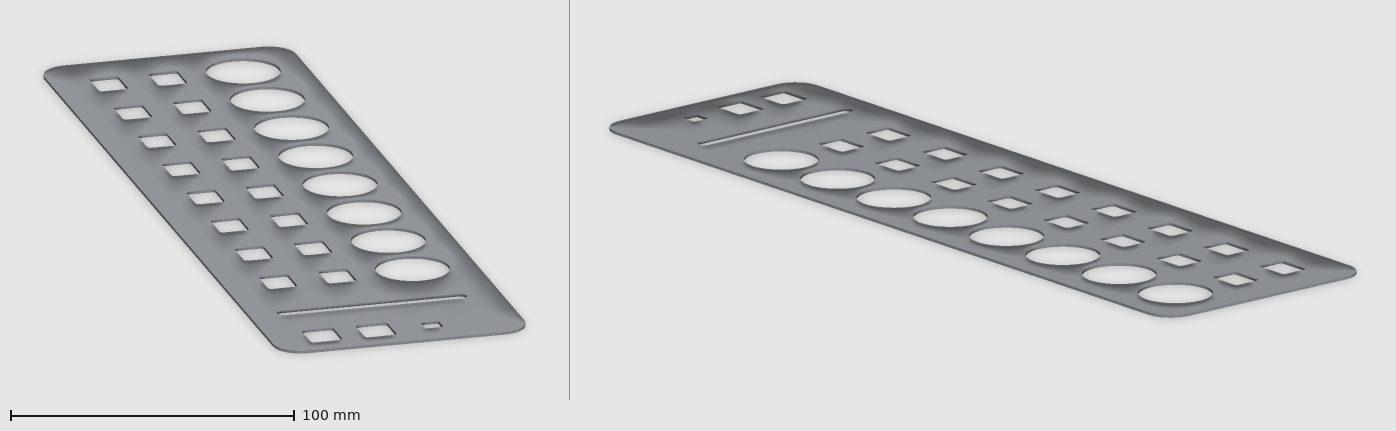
import cadquery as cq

length = 314.0
width = 92.0
thickness = 1.0
plate_corner_radius = 10.0

station_count = 8
station_pitch = 31.0
first_station_x = 23.0
round_hole_diameter = 26.5
round_hole_y = width - first_station_x
window_offset_x = 0.3
window_length = 13.8
window_height = 10.7
upper_window_y = 41.5
lower_window_y = 19.8
window_corner_radius = 1.3

slot_x = 273.2
slot_y = 45.0
slot_length = 69.5
slot_width = 5.0

end_column_x = 299.5
end_window_length = 13.5
end_window_height = 11.5
upper_end_window_y = 39.0
lower_end_window_y = 19.0
small_square_side = 6.5
small_square_y = 59.5
small_square_corner_radius = 0.5


def rounded_block(center_x, center_y, size_x, size_y, corner_radius):
    """Rectangle with rounded corners, extruded through the plate thickness."""
    block = cq.Workplane("XY").center(center_x, center_y).rect(size_x, size_y).extrude(thickness)
    return block.edges("|Z").fillet(corner_radius)


def cut_stations(plate):
    """Cut the round hole and the two windows of every station."""
    for index in range(station_count):
        x = first_station_x + index * station_pitch
        hole = cq.Workplane("XY").center(x, round_hole_y).circle(round_hole_diameter / 2).extrude(thickness)
        plate = plate.cut(hole)
        for y in (upper_window_y, lower_window_y):
            window = rounded_block(
                x + window_offset_x, y, window_length, window_height, window_corner_radius
            )
            plate = plate.cut(window)
    return plate


def cut_slot(plate):
    """Cut the round-ended slot that runs across the plate."""
    slot = cq.Workplane("XY").center(slot_x, slot_y).slot2D(slot_length, slot_width, 90).extrude(thickness)
    return plate.cut(slot)


def cut_end_column(plate):
    """Cut the two windows and the small square at the right end."""
    for y in (upper_end_window_y, lower_end_window_y):
        window = rounded_block(end_column_x, y, end_window_length, end_window_height, window_corner_radius)
        plate = plate.cut(window)
    small_square = rounded_block(
        end_column_x, small_square_y, small_square_side, small_square_side, small_square_corner_radius
    )
    return plate.cut(small_square)


plate = rounded_block(length / 2, width / 2, length, width, plate_corner_radius)
plate = cut_stations(plate)
plate = cut_slot(plate)
result = cut_end_column(plate)